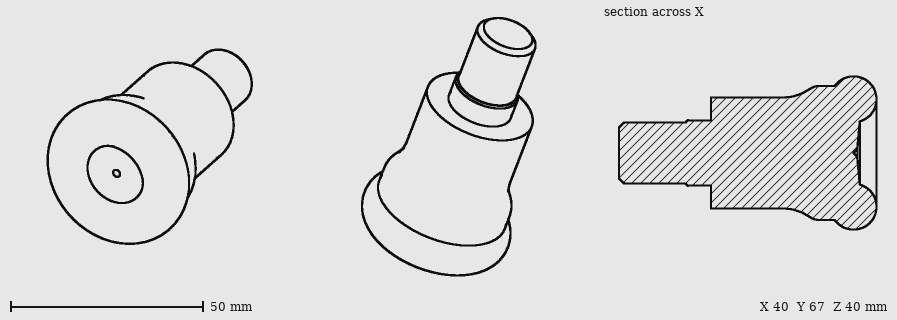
import cadquery as cq
import math

total_length = 67.0

knob_radius = 40.0 / 2
rim_tube_radius = 6.0
rim_center_radius = knob_radius - rim_tube_radius

dish_radius = 8.2
dish_cone_depth = 0.7
hole_radius = 1.0
hole_depth = 1.0

collar_radius = 17.5
collar_end = 15.1
flare_join = 17.3
flare_end = 24.3

barrel_radius = 14.5
barrel_end = 43.1
step_radius = 8.6
step_end = 49.6
step_chamfer_width = 0.4
step_chamfer_length = 0.6
pin_radius = 8.0
pin_chamfer = 1.35


def rim_offset(radius):
    """Axial distance from the tube centre to the tube surface at a given radius."""
    return math.sqrt(rim_tube_radius**2 - (radius - rim_center_radius) ** 2)


dish_edge = rim_tube_radius - rim_offset(dish_radius)
collar_start = rim_tube_radius + rim_offset(collar_radius)
dish_bottom = dish_edge + dish_cone_depth

flare_slope = (collar_radius - barrel_radius) / (flare_end - collar_end)
flare_join_radius = collar_radius - flare_slope * (flare_join - collar_end)

profile = (
    cq.Workplane("XY")
    .moveTo(0, dish_bottom + hole_depth)
    .lineTo(hole_radius, dish_bottom)
    .lineTo(dish_radius, dish_edge)
    .threePointArc((knob_radius, rim_tube_radius), (collar_radius, collar_start))
    .lineTo(collar_radius, collar_end)
    .tangentArcPoint((flare_join_radius, flare_join), relative=False)
    .tangentArcPoint((barrel_radius, flare_end), relative=False)
    .lineTo(barrel_radius, barrel_end)
    .lineTo(step_radius, barrel_end)
    .lineTo(step_radius, step_end - step_chamfer_length)
    .lineTo(step_radius - step_chamfer_width, step_end)
    .lineTo(pin_radius, step_end)
    .lineTo(pin_radius, total_length - pin_chamfer)
    .lineTo(pin_radius - pin_chamfer, total_length)
    .lineTo(0, total_length)
    .close()
)

result = profile.revolve(360, (0, 0, 0), (0, 1, 0))